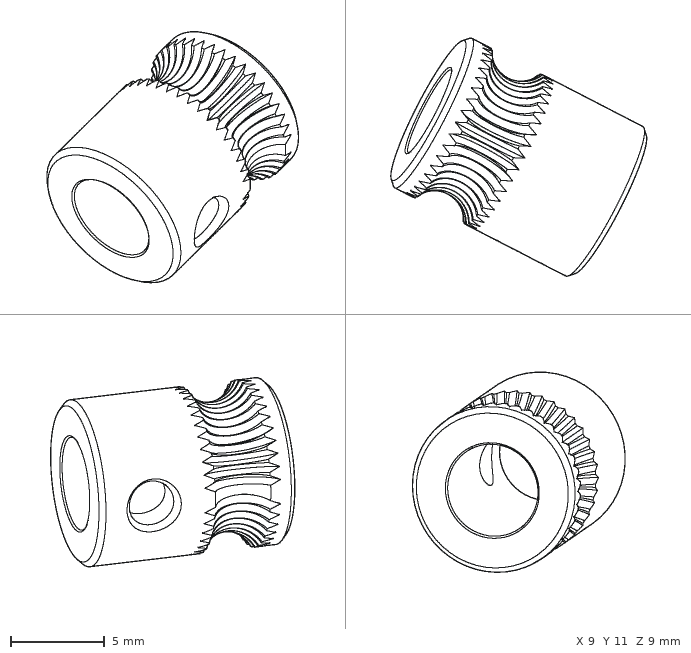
import cadquery as cq

length = 11.0
outer_diameter = 9.0
bore_diameter = 4.99
rim_chamfer = 0.3
bore_chamfer = 0.1

groove_radius = 1.7
groove_depth = 1.0
groove_from_back = 3.0

tooth_count = 40
tooth_depth = 0.53
tooth_half_width = 0.26
cutter_clearance = 0.11

screw_hole_diameter = 2.5
screw_chamfer_width = 0.28
screw_chamfer_depth = 0.46
screw_from_front = 3.0

outer_radius = outer_diameter / 2
groove_y = length / 2 - groove_from_back
groove_centre_radius = outer_radius - groove_depth + groove_radius
screw_y = -length / 2 + screw_from_front


def make_sleeve():
    """Bored cylinder with chamfered rims, running along Y."""
    body = cq.Workplane("XZ").circle(outer_radius).extrude(length / 2, both=True)
    body = body.faces("<Y or >Y").edges().chamfer(rim_chamfer)
    bore = cq.Workplane("XZ").circle(bore_diameter / 2).extrude(length / 2, both=True)
    body = body.cut(bore)
    return body.edges(cq.selectors.RadiusNthSelector(0)).chamfer(bore_chamfer)


def make_groove():
    """Ring of circular section that forms the filament groove."""
    return (
        cq.Workplane("XY")
        .center(groove_centre_radius, groove_y)
        .circle(groove_radius)
        .revolve(360, (-groove_centre_radius, 0, 0), (-groove_centre_radius, 1, 0))
    )


def make_tooth_cutter():
    """V-edged disc above the sleeve, concentric with the groove circle."""
    rim_radius = groove_radius + tooth_depth
    base_radius = groove_radius - cutter_clearance
    base_half_width = tooth_half_width * (tooth_depth + cutter_clearance) / tooth_depth
    disc = (
        cq.Workplane("XY")
        .polyline([(-base_half_width, base_radius), (base_half_width, base_radius), (0, rim_radius)])
        .close()
        .revolve(360, (0, 0, 0), (1, 0, 0))
    )
    return disc.translate((0, groove_y, groove_centre_radius))


def cut_screw_hole(body):
    """Radial hole from the bore out through the +X wall, with a steep chamfer at its outer rim."""
    hole = (
        cq.Workplane("YZ")
        .center(screw_y, 0)
        .circle(screw_hole_diameter / 2)
        .extrude(outer_radius)
    )
    outer_rim = cq.selectors.NearestToPointSelector((outer_radius, screw_y, 0))
    return body.cut(hole).edges(outer_rim).chamfer(screw_chamfer_width, screw_chamfer_depth)


result = cut_screw_hole(make_sleeve()).cut(make_groove())

tooth_cutter = make_tooth_cutter()
for tooth in range(tooth_count):
    angle = tooth * 360 / tooth_count
    result = result.cut(tooth_cutter.rotate((0, 0, 0), (0, 1, 0), angle))